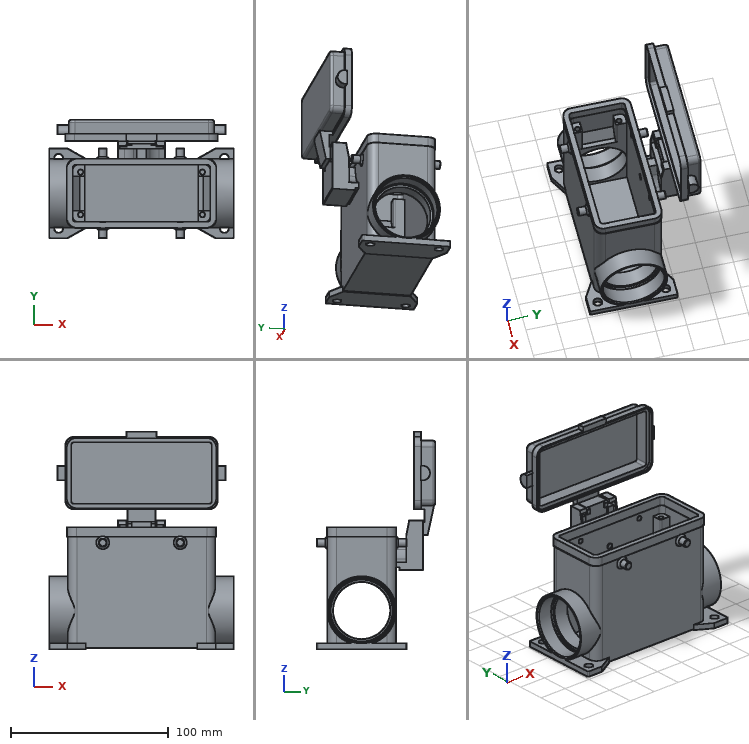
import cadquery as cq

overall_length = 117.0
overall_height = 137.8

body_length = 93.5
body_width = 43.8
rim_length = 94.6
rim_width = 44.0
outer_corner_radius = 5.9
housing_bottom = 0.7
rim_bottom = 71.2
housing_top = 77.3
cavity_length = 86.9
cavity_width = 36.1
mouth_length = 87.0
mouth_width = 36.2
mouth_corner_radius = 2.0
cavity_corner_radius = 3.0
cavity_floor = 4.1

post_length = 7.6
post_width = 7.2
post_top = 65.5
post_edge_radius = 0.8
post_hole_x = 38.6
post_hole_y = 13.5
post_hole_radius = 1.7
post_hole_depth = 16.5

port_end = overall_length / 2
port_axis_height = 24.5
port_outer_radius = 21.8
port_bore_radius = cavity_width / 2
port_seat_radius = 19.5
port_seat_end = 46.3
port_counterbore_radius = 20.0
port_counterbore_end = 47.8
port_mouth_chamfer = 0.8
lug_inner_end = cavity_length / 2 - post_length
lug_flat_top = 3.2
lug_top = 46.1
lug_slope_rise = 6.9

foot_thickness = 3.9
foot_half_width = 28.5
foot_shoulder = 47.0
foot_inner_end = 35.3
foot_corner_radius = 0.8
foot_hole_x = 52.5
foot_hole_y = 22.2
foot_hole_radius = 2.8
foot_hole_clearance = 11.0

peg_x = 24.5
peg_height = 67.5
peg_radius = 2.6
peg_collar_radius = 4.1
peg_collar_length = 1.2
peg_chamfer = 0.4
peg_tail_radius = 1.7
peg_tail_depth = 0.3

bracket_half_length = 15.0
bracket_back = 39.1
bracket_bottom = 50.1
bracket_top = 81.5
bracket_top_front = 30.0
bracket_front = 28.2
bracket_slope_bottom = 72.3
bracket_wall = 1.2
bracket_chamfer = 0.4
bracket_ledge_front = 24.0
bracket_ledge_top = 51.8
bracket_roof = 78.9
bracket_pocket_back = 36.5
pocket_step_height = 75.8
pocket_step_front = 30.7
channel_half_length = 9.4
channel_floor = 70.7
knuckle_half_length = 8.7
knuckle_front = 31.5
knuckle_top = 80.7
cheek_inner_x = 6.2
cheek_front = 30.3
cheek_bottom = 76.5
cheek_front_top = 79.6
hinge_screw_height = 55.8
hinge_screw_radius = 1.9
hinge_screw_depth = 0.7

pedestal_bottom = bracket_ledge_top
pedestal_edge_top = 55.1
pedestal_flare_x = 10.9
pedestal_flare_bottom = 57.3
pedestal_neck_x = 5.2
pedestal_neck_height = 63.2
pedestal_top_x = 2.9
pedestal_top = 70.0

lid_height_middle = 111.6
lid_front = 33.0
flange_back = 37.6
lid_back = 46.7
flange_length = 96.7
flange_height = 46.0
cap_length = 92.3
cap_height = 41.3
cap_corner_radius = 3.9
cap_edge_radius = 1.8
gasket_length = 94.5
gasket_height = 44.4
gasket_depth = 1.8
lid_cavity_length = 89.0
lid_cavity_height = 38.8
lid_cavity_corner_radius = 1.7
lid_cavity_back = 43.8
lid_tab_length = 19.0
lid_top = overall_height
lid_peg_span = 106.5
lid_peg_end = lid_peg_span / 2
lid_peg_diameter = 9.2
lid_peg_axis = 38.7
lid_peg_front = 37.3
arm_half_length = 9.0
arm_front = 39.7
arm_foot_front = 38.6
arm_foot_back = 41.9
arm_bottom = 72.3
arm_root_back = 46.0
arm_root_height = 91.5


def rounded_block(length, width, bottom, top, radius):
    """Upright block centred on the Z axis with rounded vertical edges."""
    block = cq.Workplane("XY").workplane(offset=bottom).rect(length, width).extrude(top - bottom)
    return block.edges("|Z").fillet(radius)


def lid_block(length, height, front, back, radius):
    """Rounded plate of the lid, running back along +Y."""
    plane = cq.Workplane("XZ", origin=(0, front, lid_height_middle))
    return plane.rect(length, height).extrude(front - back).edges("|Y").fillet(radius)


def x_cylinder(radius, start, end, y, z):
    """Cylinder along X between two places."""
    return cq.Workplane("YZ", origin=(start, y, z)).circle(radius).extrude(end - start)


def x_prism(points, half_length):
    """Prism along X, centred, from a (y, z) outline."""
    return cq.Workplane("YZ").polyline(points).close().extrude(half_length, both=True)


def box_between(x0, x1, y0, y1, z0, z1):
    """Box between two places along each axis."""
    return cq.Workplane("XY").box(x1 - x0, y1 - y0, z1 - z0, centered=False).translate((x0, y0, z0))


def both_ends(shape):
    """The +X shape together with its mirror image at -X."""
    return shape.union(shape.mirror("YZ"))


def make_foot():
    """Foot plate at +X with slanted shoulders, and the cutters for its screw holes."""
    body_side = body_width / 2
    outline = [
        (foot_inner_end, -body_side),
        (foot_shoulder, -foot_half_width),
        (port_end, -foot_half_width),
        (port_end, foot_half_width),
        (foot_shoulder, foot_half_width),
        (foot_inner_end, body_side),
    ]
    foot = cq.Workplane("XY").polyline(outline).close().extrude(foot_thickness)
    foot = foot.edges("|Z and >X").fillet(foot_corner_radius)
    holes = cq.Workplane("XY").pushPoints([(foot_hole_x, -foot_hole_y), (foot_hole_x, foot_hole_y)])
    return foot, holes.circle(foot_hole_radius).extrude(foot_hole_clearance)


def make_port_lug():
    """Thickened wall around the port inside the cavity at +X, with a sloped top."""
    wall = cavity_length / 2
    half_width = cavity_width / 2
    flat_end = lug_inner_end + lug_flat_top
    outline = [
        (lug_inner_end, cavity_floor),
        (wall, cavity_floor),
        (wall, lug_top + lug_slope_rise),
        (flat_end, lug_top),
        (lug_inner_end, lug_top),
    ]
    return cq.Workplane("XZ").polyline(outline).close().extrude(half_width, both=True)


def make_posts():
    """Pair of screw posts in the +X corners of the cavity."""
    x_outer = cavity_length / 2
    y_outer = cavity_width / 2
    post = box_between(x_outer - post_length, x_outer, y_outer - post_width, y_outer, cavity_floor, post_top)
    post = post.edges("|Z and <X and <Y").fillet(post_edge_radius)
    hole = cq.Workplane("XY", origin=(post_hole_x, post_hole_y, post_top))
    post = post.cut(hole.circle(post_hole_radius).extrude(-post_hole_depth))
    return post.union(post.mirror("XZ"))


def make_port_bore():
    """Stepped bore of the +X port with a chamfered mouth."""
    steps = [
        (port_bore_radius, lug_inner_end),
        (port_seat_radius, port_seat_end),
        (port_counterbore_radius, port_counterbore_end),
    ]
    bore = cq.Workplane("XY")
    for radius, inner_end in steps:
        bore = bore.union(x_cylinder(radius, inner_end, port_end, 0, port_axis_height))
    mouth = cq.Workplane("YZ", origin=(port_end, 0, port_axis_height))
    mouth = mouth.circle(port_counterbore_radius + port_mouth_chamfer)
    mouth = mouth.workplane(offset=-port_mouth_chamfer).circle(port_counterbore_radius).loft()
    return bore.union(mouth)


def make_peg_tail_recesses():
    """Shallow round recesses in the cavity walls behind the pegs."""
    plane = cq.Workplane("XZ", origin=(0, 0, peg_height)).pushPoints([(-peg_x, 0), (peg_x, 0)])
    reach = cavity_width / 2 + peg_tail_depth
    rods = plane.circle(peg_tail_radius).extrude(reach, both=True)
    return rods.cut(cq.Workplane("XY").box(cavity_length, cavity_width, 2 * housing_top))


def make_housing():
    """Box with its feet, ports, posts and wall recesses."""
    body = rounded_block(body_length, body_width, housing_bottom, rim_bottom, outer_corner_radius)
    rim = rounded_block(rim_length, rim_width, rim_bottom, housing_top, outer_corner_radius)
    mouth = rounded_block(mouth_length, mouth_width, rim_bottom, housing_top, mouth_corner_radius)
    cavity = rounded_block(cavity_length, cavity_width, cavity_floor, rim_bottom, cavity_corner_radius)

    foot, foot_holes = make_foot()
    port = x_cylinder(port_outer_radius, cavity_length / 2 - post_length, port_end, 0, port_axis_height)
    shell = body.union(rim).union(both_ends(foot)).union(both_ends(port)).cut(cavity).cut(mouth)
    inside = make_port_lug().union(make_posts()).intersect(cavity)
    shell = shell.union(both_ends(inside))

    shell = shell.cut(both_ends(make_port_bore())).cut(both_ends(foot_holes))
    screw = cq.Workplane("XZ", origin=(0, cavity_width / 2, hinge_screw_height))
    screw_hole = screw.circle(hinge_screw_radius).extrude(-hinge_screw_depth)
    return shell.cut(screw_hole).cut(make_peg_tail_recesses())


def make_peg(x):
    """Locking peg on the -Y side with a conical collar."""
    base = cq.Workplane("XZ", origin=(x, -body_width / 2, peg_height))
    collar = base.circle(peg_collar_radius).workplane(offset=peg_collar_length).circle(peg_radius).loft()
    pin = base.circle(peg_radius).extrude(foot_half_width - body_width / 2)
    pin = pin.faces("<Y").chamfer(peg_chamfer)
    return pin.union(collar)


def make_pegs():
    """Two locking pegs on each long side."""
    front_pegs = make_peg(-peg_x).union(make_peg(peg_x))
    return front_pegs.union(front_pegs.mirror("XZ"))


def make_bracket():
    """Hinge bracket with a channel for the knuckle, side pockets and a bottom ledge."""
    outline = [
        (bracket_back, bracket_bottom),
        (bracket_front, bracket_bottom),
        (bracket_front, bracket_slope_bottom),
        (bracket_top_front, bracket_top),
        (bracket_back, bracket_top),
    ]
    bracket = x_prism(outline, bracket_half_length)
    bracket = bracket.faces(">Y").edges().chamfer(bracket_chamfer)
    pocket_half = bracket_half_length - bracket_wall
    step_pocket = box_between(
        -pocket_half, pocket_half, pocket_step_front, bracket_pocket_back, pocket_step_height, bracket_roof
    )
    front_pocket = box_between(
        -pocket_half, pocket_half, bracket_ledge_front, pocket_step_front, channel_floor, bracket_roof
    )
    channel = box_between(
        -channel_half_length, channel_half_length,
        bracket_ledge_front, bracket_back, channel_floor, bracket_top,
    )
    ledge = box_between(
        -bracket_half_length, bracket_half_length,
        bracket_ledge_front, bracket_front, bracket_bottom, bracket_ledge_top,
    )
    return bracket.cut(step_pocket).cut(front_pocket).cut(channel).union(ledge)


def make_pedestal():
    """Flared pedestal between the housing wall and the bracket."""
    wall = body_width / 2
    half = (
        cq.Workplane("XZ", origin=(0, wall, 0))
        .moveTo(0, pedestal_bottom)
        .lineTo(bracket_half_length, pedestal_bottom)
        .lineTo(bracket_half_length, pedestal_edge_top)
        .lineTo(pedestal_flare_x, pedestal_flare_bottom)
        .tangentArcPoint((pedestal_neck_x, pedestal_neck_height), relative=False)
        .lineTo(pedestal_top_x, pedestal_top)
        .lineTo(0, pedestal_top)
        .close()
        .extrude(wall - bracket_front)
    )
    return both_ends(half)


def make_knuckle():
    """Block at the foot of the lid arm, with a raised cheek on the front at each end."""
    block = box_between(
        -knuckle_half_length, knuckle_half_length,
        knuckle_front, bracket_back, channel_floor, knuckle_top,
    )
    cheek_outline = [
        (knuckle_front, cheek_bottom),
        (cheek_front, cheek_bottom),
        (cheek_front, cheek_front_top),
        (knuckle_front, knuckle_top),
    ]
    cheek = cq.Workplane("YZ", origin=(cheek_inner_x, 0, 0)).polyline(cheek_outline).close()
    return block.union(both_ends(cheek.extrude(knuckle_half_length - cheek_inner_x)))


def make_arm():
    """Tapered arm that carries the lid."""
    flange_bottom = lid_height_middle - flange_height / 2
    outline = [
        (flange_back, flange_bottom),
        (arm_front, flange_bottom),
        (arm_front, knuckle_top),
        (arm_foot_front, knuckle_top),
        (arm_foot_front, arm_bottom),
        (arm_foot_back, arm_bottom),
        (arm_root_back, arm_root_height),
        (flange_back, arm_root_height),
    ]
    return x_prism(outline, arm_half_length)


def make_lid():
    """Upright hollow lid with its tab, side pegs and arm."""
    flange = lid_block(flange_length, flange_height, lid_front, flange_back, outer_corner_radius)
    cap = lid_block(cap_length, cap_height, flange_back, lid_back, cap_corner_radius)
    cap = cap.faces(">Y").edges().fillet(cap_edge_radius)
    pegs = cq.Workplane("YZ", origin=(0, lid_peg_axis, lid_height_middle))
    pegs = pegs.circle(lid_peg_diameter / 2).extrude(lid_peg_end, both=True)
    pegs = pegs.intersect(box_between(-lid_peg_end, lid_peg_end, lid_peg_front, lid_back, 0, lid_top))
    half_tab = lid_tab_length / 2
    tab_bottom = lid_height_middle + gasket_height / 2
    tab = box_between(-half_tab, half_tab, lid_front, flange_back, tab_bottom, lid_top)
    lid = flange.union(cap).union(pegs).union(tab).union(make_arm())
    gasket_step = lid_block(
        gasket_length, gasket_height, lid_front, lid_front + gasket_depth, outer_corner_radius
    )
    cavity = lid_block(
        lid_cavity_length, lid_cavity_height, lid_front, lid_cavity_back, lid_cavity_corner_radius
    )
    return lid.cut(gasket_step).cut(cavity)


hinge = make_pedestal().union(make_bracket()).union(make_knuckle())
result = make_housing().union(make_pegs()).union(hinge).union(make_lid())